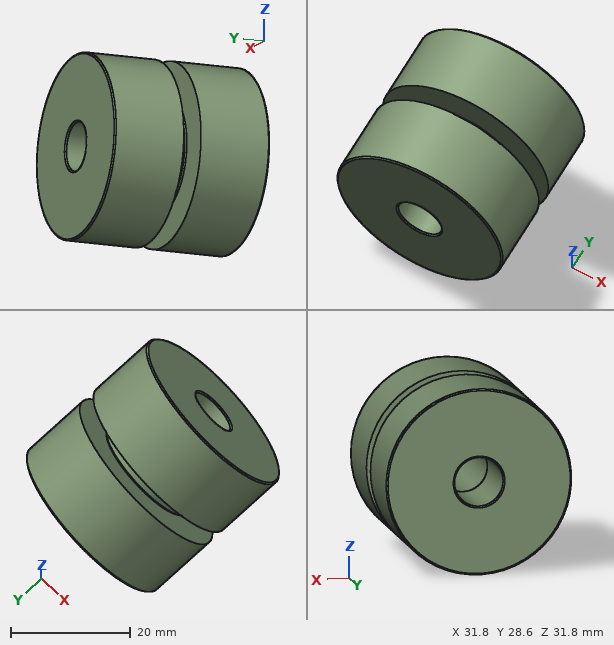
import cadquery as cq

outer_diameter = 31.75
total_length = 28.58
disc_length = 12.7
neck_diameter = 19.8
bore_diameter = 8.32
edge_chamfer = 0.25
tip_clearance = 0.1

outer_radius = outer_diameter / 2
neck_radius = neck_diameter / 2
bore_radius = bore_diameter / 2
front_face_y = -total_length / 2
rear_face_y = total_length / 2
front_shoulder_y = front_face_y + disc_length
rear_shoulder_y = rear_face_y - disc_length
neck_tip_y = rear_shoulder_y - tip_clearance


def revolve_about_y(profile_points):
    """Turn a closed (radius, y) outline fully around the Y axis."""
    profile = cq.Workplane("XY").polyline(profile_points).close()
    return profile.revolve(360, (0, 0, 0), (0, 1, 0))


def make_necked_disc():
    """Front disc with its neck: sloped root, chamfered tip and chamfered bore mouth."""
    return revolve_about_y([
        (bore_radius + edge_chamfer, front_face_y),
        (outer_radius - edge_chamfer, front_face_y),
        (outer_radius, front_face_y + edge_chamfer),
        (outer_radius, front_shoulder_y),
        (neck_radius + edge_chamfer, front_shoulder_y),
        (neck_radius, front_shoulder_y + edge_chamfer),
        (neck_radius, neck_tip_y - edge_chamfer),
        (neck_radius - edge_chamfer, neck_tip_y),
        (bore_radius, neck_tip_y),
        (bore_radius, front_face_y + edge_chamfer),
    ])


def make_plain_disc():
    """Rear disc, chamfered around its outer face and at the bore mouth."""
    return revolve_about_y([
        (bore_radius, rear_shoulder_y),
        (outer_radius, rear_shoulder_y),
        (outer_radius, rear_face_y - edge_chamfer),
        (outer_radius - edge_chamfer, rear_face_y),
        (bore_radius + edge_chamfer, rear_face_y),
        (bore_radius, rear_face_y - edge_chamfer),
    ])


necked_disc = make_necked_disc()
plain_disc = make_plain_disc()

result = cq.Compound.makeCompound([necked_disc.val(), plain_disc.val()])